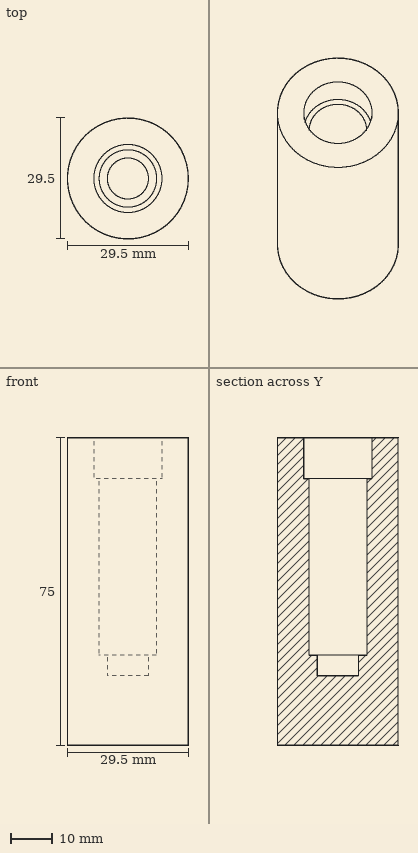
import cadquery as cq

body_diameter = 29.5
body_length = 75.0

mouth_diameter = 16.6
mouth_length = 10.0
middle_diameter = 14.0
middle_length = 43.0
inner_diameter = 10.0
inner_length = 5.0

bore_steps = [
    (mouth_diameter, mouth_length),
    (middle_diameter, middle_length),
    (inner_diameter, inner_length),
]


def make_body():
    """Plain round bar."""
    return cq.Workplane("XY").circle(body_diameter / 2).extrude(body_length)


def cut_stepped_bore(body):
    """Cut the coaxial steps one below the other, starting at the top face."""
    step_top = body_length
    for diameter, length in bore_steps:
        step = cq.Workplane("XY").workplane(offset=step_top).circle(diameter / 2).extrude(-length)
        body = body.cut(step)
        step_top -= length
    return body


result = cut_stepped_bore(make_body())